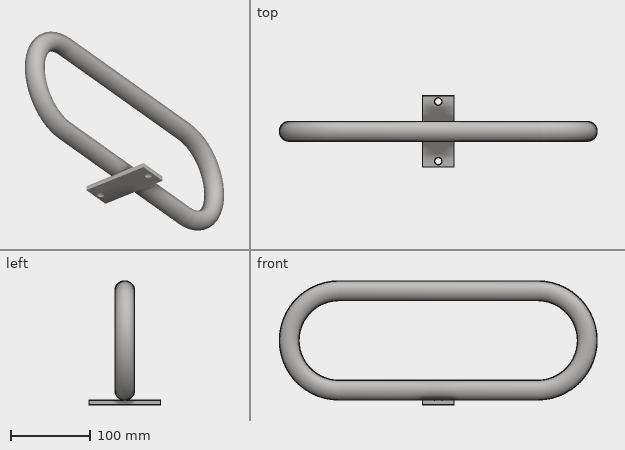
import cadquery as cq

rail_length = 400.0
rail_height = 150.0
bar_diameter = 25.0

plate_width = 40.0
plate_length = 90.0
plate_thickness = 6.0
hole_diameter = 9.0
hole_spacing = 75.0

bend_radius = (rail_height - bar_diameter) / 2
half_straight = (rail_length - rail_height) / 2
half_centre_length = half_straight + bend_radius


def make_rail():
    """Closed bar loop in the XZ plane, centred on the origin."""
    centre_line = (
        cq.Workplane("XZ")
        .moveTo(0, -bend_radius)
        .lineTo(half_straight, -bend_radius)
        .threePointArc((half_centre_length, 0), (half_straight, bend_radius))
        .lineTo(-half_straight, bend_radius)
        .threePointArc((-half_centre_length, 0), (-half_straight, -bend_radius))
        .close()
    )
    bar_section = cq.Workplane("YZ", origin=(0, 0, -bend_radius)).circle(bar_diameter / 2)
    return bar_section.sweep(centre_line)


def make_mounting_plate():
    """Flat plate whose top face touches the underside of the rail."""
    plate = (
        cq.Workplane("XY", origin=(0, 0, -rail_height / 2))
        .rect(plate_width, plate_length)
        .extrude(-plate_thickness)
    )
    hole_centres = [(0, -hole_spacing / 2), (0, hole_spacing / 2)]
    return plate.faces(">Z").workplane().pushPoints(hole_centres).hole(hole_diameter)


rail = make_rail()
mounting_plate = make_mounting_plate()

result = cq.Compound.makeCompound([rail.val(), mounting_plate.val()])